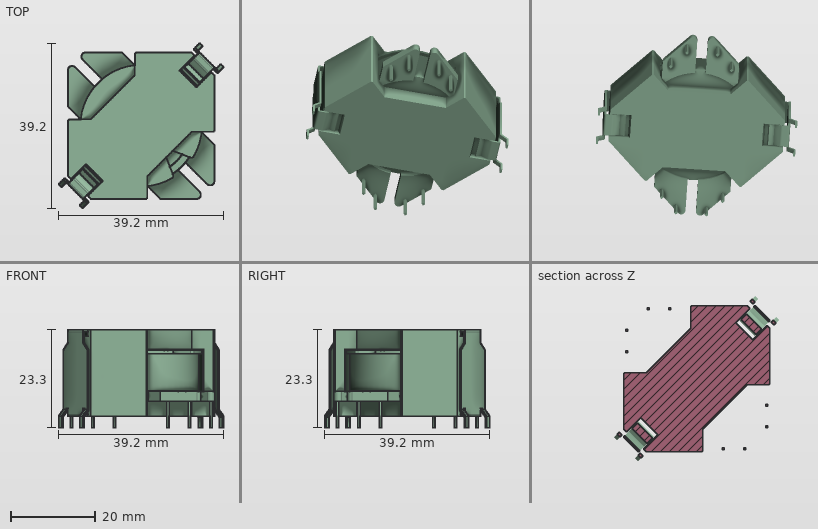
import cadquery as cq
import math

core_half_width = 17.4
core_height = 20.6
corner_cut = 5.5
notch_offset = 1.5
notch_depth = 9.5
notch_edge_chamfer = 0.3
cavity_radius = 14.7
cavity_edge_chamfer = 0.25
cavity_height = 11.35
mid_z = core_height / 2
cavity_base = mid_z - cavity_height / 2
post_radius = 15.2 / 2

former_base = 4.95
tube_radius = 16.73 / 2
lower_flange_radius = 27.35 / 2
lower_flange_top = 6.07
winding_radius = 27.25 / 2
winding_top = 14.9
joint_outer_radius = 23.8 / 2
joint_inner_radius = 23.7 / 2
upper_flange_radius = 14.4
upper_flange_top = 15.65
lead_slot_apex = 6.97
lead_slot_half_angle = 23.6
lead_slot_corner_radius = 0.6

plate_base = 3.55
plate_top = 5.9
plate_side_clearance = 0.15
plate_slot_width = 2.5
plate_end_cut = 12.8
plate_corner_radius = 1.0
pad_overlap = 0.4
pin_width = 0.6
pin_edge_offset = 16.55
pin_positions = (6.35, 11.45)
pin_tip = -2.7

recess_start = 15.65
recess_half_width = 2.82
recess_depth = 1.55
recess_wall_lean = 0.45
clip_face = 22.1
clip_thickness = 0.5
clip_half_width = 4.05
clip_neck_half_width = 2.55
clip_neck_z = 17.45
clip_shoulder_z = 15.75
leaf_flat_end = 20.05
leaf_bend_radius = 0.8
leaf_valley = 18.35
leaf_valley_drop = 1.05
leaf_tip = 17.1
leaf_tip_drop = 0.4
leg_width = 1.0
leg_bend_z = 1.65
leg_slope = 45.0
leg_relief_z = 1.9

overall_width = 39.17
corner_reach = math.sqrt(2) * core_half_width
leg_step = overall_width / math.sqrt(2) - clip_half_width - clip_face
LEAD_SLOT_TURN = -45
CLIP_TURNS = (45, 225)
PAD_TURNS = (0, 180)


def prism(points, base, top):
    """Extrude a plan outline between two heights."""
    return cq.Workplane("XY").workplane(offset=base).polyline(points).close().extrude(top - base)


def disc(radius, base, top):
    return cq.Workplane("XY").workplane(offset=base).circle(radius).extrude(top - base)


def block(x_range, y_range, z_range):
    """Box given by its limits along each axis."""
    sizes = [high - low for low, high in (x_range, y_range, z_range)]
    corner = (x_range[0], y_range[0], z_range[0])
    return cq.Workplane("XY").box(*sizes, centered=False).translate(corner)


def turned(shape, angle):
    """Turn a shape about the Z axis."""
    return shape.rotate((0, 0, 0), (0, 0, 1), angle)


def flipped(shape):
    """Mirror a shape about the plane where the core halves meet."""
    return shape.mirror("XY", (0, 0, mid_z))


def core():
    half = core_half_width
    cut_end = half - corner_cut
    inner = math.sqrt(2) * notch_depth - notch_offset
    edge = notch_edge_chamfer
    half_outline = [
        (-notch_offset, inner),
        (-notch_offset, half - edge),
        (-notch_offset + edge, half),
        (cut_end, half),
        (half, cut_end),
        (half, -notch_offset + edge),
        (half - edge, -notch_offset),
        (inner, -notch_offset),
    ]
    outline = half_outline + [(-x, -y) for x, y in half_outline]
    body = prism(outline, 0, core_height)
    body = body.cut(disc(cavity_radius, cavity_base, cavity_base + cavity_height))
    cavity_mouth = math.sqrt(cavity_radius**2 - notch_offset**2)
    for side in (-1, 1):
        for x, y in ((cavity_mouth, -notch_offset), (-notch_offset, cavity_mouth)):
            mouth_edge = cq.selectors.NearestToPointSelector((side * x, side * y, mid_z))
            body = body.edges("|Z").edges(mouth_edge).chamfer(cavity_edge_chamfer)
    body = body.union(disc(post_radius, 0, core_height))
    recess_floor = core_height - recess_depth
    recess = (
        cq.Workplane("XZ")
        .polyline([
            (recess_start, core_height),
            (recess_start + recess_wall_lean, recess_floor),
            (corner_reach, recess_floor),
            (corner_reach, core_height),
        ])
        .close()
        .extrude(recess_half_width, both=True)
    )
    for angle in CLIP_TURNS:
        body = body.cut(turned(recess, angle)).cut(turned(flipped(recess), angle))
    return body


def coil():
    """Coil former flanges and tube with the winding around the tube."""
    body = disc(lower_flange_radius, former_base, lower_flange_top)
    body = body.union(disc(winding_radius, lower_flange_top, winding_top))
    joint = disc(joint_outer_radius, lower_flange_top, winding_top)
    joint = joint.cut(disc(joint_inner_radius, lower_flange_top, winding_top))
    body = body.cut(joint)
    body = body.union(disc(tube_radius, former_base, upper_flange_top))
    return body.union(upper_flange())


def upper_flange():
    """Top flange with a wedge-shaped opening for the winding leads."""
    flange = disc(upper_flange_radius, winding_top, upper_flange_top)
    reach = corner_reach
    spread = (reach - lead_slot_apex) * math.tan(math.radians(lead_slot_half_angle))
    wedge = prism(
        [(lead_slot_apex, 0), (reach, -spread), (reach, spread)],
        winding_top,
        upper_flange_top,
    )
    wedge = wedge.cut(disc(tube_radius, winding_top, upper_flange_top))
    flange = flange.cut(wedge)
    flange = flange.edges("|Z").edges(">X").fillet(lead_slot_corner_radius)
    return turned(flange, LEAD_SLOT_TURN)


def pin_pad():
    """One pad beside the +X -Y slot, with its pins along the -Y edge."""
    half = core_half_width
    side = notch_offset + plate_side_clearance
    slot_shift = plate_slot_width / math.sqrt(2)
    pad = prism(
        [
            (side, -side - slot_shift),
            (side, -plate_end_cut - side),
            (half - plate_end_cut, -half),
            (half - slot_shift, -half),
        ],
        plate_base,
        plate_top,
    )
    pad = pad.edges("|Z").edges(">X").fillet(plate_corner_radius)
    pad = pad.cut(disc(lower_flange_radius - pad_overlap, 0, former_base))
    pad = pad.cut(disc(winding_radius - pad_overlap, former_base, plate_top))
    for x in pin_positions:
        pin = block(
            (x - pin_width / 2, x + pin_width / 2),
            (-pin_edge_offset - pin_width / 2, -pin_edge_offset + pin_width / 2),
            (pin_tip, plate_base),
        )
        pad = pad.union(pin)
    return pad


def clip():
    """Sheet-metal clip on the +X corner, before it is turned into place."""
    inner_face = clip_face - clip_thickness
    width = clip_neck_half_width
    right_edge = [
        (width, core_height - clip_thickness),
        (width, clip_neck_z),
        (clip_half_width, clip_shoulder_z),
        (clip_half_width, leg_bend_z),
        (width, leg_bend_z),
        (width, clip_thickness),
    ]
    left_edge = [(-y, z) for y, z in reversed(right_edge)]
    plate = cq.Workplane("YZ").workplane(offset=inner_face).polyline(right_edge + left_edge).close()
    body = plate.extrude(clip_thickness)
    spring = leaf()
    body = body.union(spring).union(flipped(spring))
    for y in (-clip_half_width, clip_half_width - leg_width):
        body = body.union(leg(y))
    relief_width = clip_half_width - leg_width - width
    for side in (-1, 1):
        relief = block(
            (inner_face, clip_face),
            (-relief_width / 2, relief_width / 2),
            (0, leg_relief_z),
        )
        body = body.cut(relief.translate((0, side * (width + relief_width / 2), 0)))
    return body


def leaf():
    """Bent spring at the clip top that presses into the core recess."""
    top = core_height
    thick = clip_thickness
    outer_slope = math.atan2(leaf_valley_drop, leaf_flat_end - leaf_valley)
    tip_slope = math.atan2(leaf_valley_drop - leaf_tip_drop, leaf_valley - leaf_tip)
    flat_shift = thick * math.tan(outer_slope / 2)
    valley_shift = thick * math.tan((tip_slope - outer_slope) / 2)
    valley_depth = thick / math.cos((outer_slope + tip_slope) / 2)
    profile = (
        cq.Workplane("XZ")
        .moveTo(clip_face - thick, top)
        .threePointArc(
            (clip_face - thick * (1 - math.sqrt(0.5)), top - thick * (1 - math.sqrt(0.5))),
            (clip_face, top - thick),
        )
        .lineTo(clip_face - thick, top - thick)
        .lineTo(leaf_flat_end + flat_shift, top - thick)
        .lineTo(leaf_valley + valley_shift, top - leaf_valley_drop - valley_depth)
        .lineTo(
            leaf_tip - thick * math.sin(tip_slope),
            top - leaf_tip_drop - thick * math.cos(tip_slope),
        )
        .lineTo(leaf_tip, top - leaf_tip_drop)
        .lineTo(leaf_valley, top - leaf_valley_drop)
        .lineTo(leaf_flat_end, top)
        .close()
    )
    strip = profile.extrude(clip_neck_half_width, both=True)
    outer_bend = cq.selectors.NearestToPointSelector((leaf_flat_end, 0, top))
    inner_bend = cq.selectors.NearestToPointSelector((leaf_flat_end + flat_shift, 0, top - thick))
    strip = strip.edges("|Y").edges(outer_bend).fillet(leaf_bend_radius)
    return strip.edges("|Y").edges(inner_bend).fillet(leaf_bend_radius - thick)


def leg(y_start):
    """Soldering leg that steps outward below the clip plate."""
    inner = clip_face - clip_thickness
    bend_drop = clip_thickness * math.tan(math.radians(leg_slope / 2))
    foot_z = leg_bend_z - leg_step * math.tan(math.radians(leg_slope))
    profile = [
        (clip_face, leg_bend_z),
        (clip_face + leg_step, foot_z),
        (clip_face + leg_step, pin_tip),
        (inner + leg_step, pin_tip),
        (inner + leg_step, foot_z - bend_drop),
        (inner, leg_bend_z - bend_drop),
        (inner, leg_bend_z),
    ]
    bar = cq.Workplane("XZ").polyline(profile).close().extrude(-leg_width)
    return bar.translate((0, y_start, 0))


result = core().union(coil())
for angle in PAD_TURNS:
    pad = turned(pin_pad(), angle)
    neighbour = turned(pad.mirror("YZ"), 90)
    result = result.union(pad).union(neighbour)
for angle in CLIP_TURNS:
    result = result.union(turned(clip(), angle))